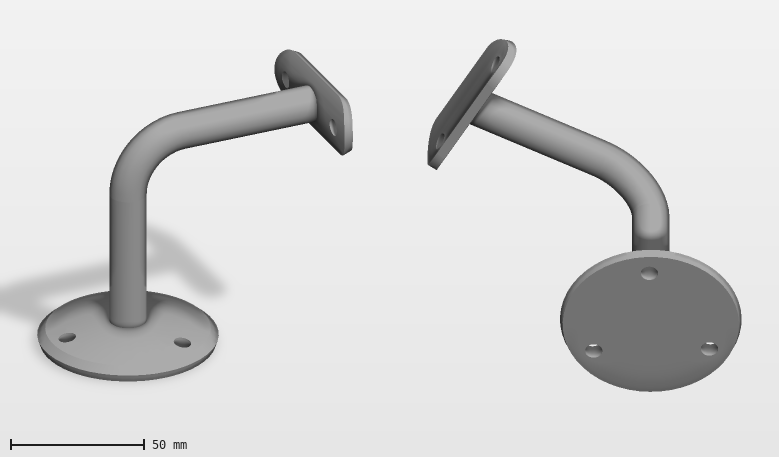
import cadquery as cq
import math

disc_radius = 34.0
disc_foot_radius = 33.0
dome_edge_radius = 31.0
disc_rim_z = 3.0
dome_edge_z = 5.65
dome_top_z = 9.3
screw_circle_radius = 25.0
screw_count = 3
first_screw_angle = -90.0
hole_diameter = 6.5

rod_radius = 7.0
bend_radius = 22.0
straight_length = 53.0
post_foot_z = 9.0
bend_start_z = post_foot_z + straight_length
arm_axis_z = bend_start_z + bend_radius
arm_end_y = bend_radius + straight_length

saddle_length = 63.0
saddle_height = 24.0
saddle_thickness = 3.5
saddle_outer_radius = 26.0
saddle_seat_depth = 0.39
saddle_hole_spacing = 43.0
saddle_inner_radius = saddle_outer_radius - saddle_thickness
saddle_back_y = arm_end_y - saddle_seat_depth
saddle_axis_y = saddle_back_y + saddle_outer_radius
saddle_end_radius = saddle_height / 2
saddle_straight_half = saddle_length / 2 - saddle_end_radius
saddle_half_angle = math.asin(saddle_end_radius / saddle_outer_radius)


def make_post():
    """Upright rod, flat at both ends."""
    return cq.Workplane("XY", origin=(0, 0, post_foot_z)).circle(rod_radius).extrude(straight_length)


def make_level_rod():
    """Level rod, flat at both ends."""
    return (
        cq.Workplane("XZ", origin=(0, bend_radius, arm_axis_z))
        .circle(rod_radius)
        .extrude(-straight_length)
    )


def make_elbow():
    """Quarter-turn bend from the upright rod to the level rod."""
    return (
        cq.Workplane("XY", origin=(0, 0, bend_start_z))
        .circle(rod_radius)
        .revolve(90, (1, bend_radius, 0), (-1, bend_radius, 0))
    )


def make_rosette():
    """Domed disc with a ring of screw holes and a shallow seat for the foot of the post."""
    dome_rise = dome_top_z - dome_edge_z
    dome_radius = (dome_edge_radius**2 + dome_rise**2) / (2 * dome_rise)
    mid_radius = dome_edge_radius / 2
    mid_z = dome_top_z - dome_radius + math.sqrt(dome_radius**2 - mid_radius**2)
    disc = (
        cq.Workplane("XZ")
        .lineTo(disc_foot_radius, 0)
        .lineTo(disc_radius, disc_rim_z)
        .lineTo(dome_edge_radius, dome_edge_z)
        .threePointArc((mid_radius, mid_z), (0, dome_top_z))
        .close()
        .revolve(360, (0, 0, 0), (0, 1, 0))
    )
    holes = (
        cq.Workplane("XY")
        .polarArray(screw_circle_radius, first_screw_angle, 360, screw_count)
        .circle(hole_diameter / 2)
        .extrude(dome_top_z)
    )
    return disc.cut(holes).cut(make_post())


def saddle_cylinder(radius):
    """Solid cylinder about the saddle's axis of curvature."""
    return (
        cq.Workplane("YZ", origin=(-saddle_length / 2, saddle_axis_y, arm_axis_z))
        .circle(radius)
        .extrude(saddle_length)
    )


def saddle_outline(distance):
    """Wire of the saddle outline, cast from the curvature axis onto a plane this far from it.

    On the outer face of the saddle the cast outline has circular ends as seen along Y.
    """
    top_z = distance * math.tan(saddle_half_angle)

    def end_point(t, side):
        angle = math.asin(math.sin(saddle_half_angle) * math.sin(t))
        x = saddle_straight_half + saddle_end_radius * math.cos(t)
        return side * x, distance * math.tan(angle)

    def right_end(s):
        return end_point((s - 0.5) * math.pi, 1)

    def left_end(s):
        return end_point((0.5 - s) * math.pi, -1)

    return (
        cq.Workplane("XZ", origin=(0, saddle_axis_y - distance, arm_axis_z))
        .moveTo(-saddle_straight_half, -top_z)
        .lineTo(saddle_straight_half, -top_z)
        .parametricCurve(right_end, makeWire=False)
        .moveTo(saddle_straight_half, top_z)
        .lineTo(-saddle_straight_half, top_z)
        .parametricCurve(left_end, makeWire=False)
        .consolidateWires()
        .val()
    )


def make_saddle():
    """Curved plate with radial edges, two screw holes and a shallow seat for the end of the level rod."""
    near_distance = saddle_inner_radius * math.cos(saddle_half_angle)
    trimmer = cq.Solid.makeLoft(
        [saddle_outline(saddle_outer_radius), saddle_outline(near_distance)], True
    )
    holes = (
        cq.Workplane("XZ", origin=(0, saddle_back_y, arm_axis_z))
        .rarray(saddle_hole_spacing, 1, 2, 1)
        .circle(hole_diameter / 2)
        .extrude(-saddle_outer_radius)
    )
    return (
        saddle_cylinder(saddle_outer_radius)
        .cut(saddle_cylinder(saddle_inner_radius))
        .intersect(cq.Workplane(trimmer))
        .cut(holes)
        .cut(make_level_rod())
    )


rosette = make_rosette().solids()
post = make_post().solids()
elbow = make_elbow().solids()
level_rod = make_level_rod().solids()
saddle = make_saddle().solids()

result = cq.Compound.makeCompound(
    [rosette.val(), post.val(), elbow.val(), level_rod.val(), saddle.val()]
)